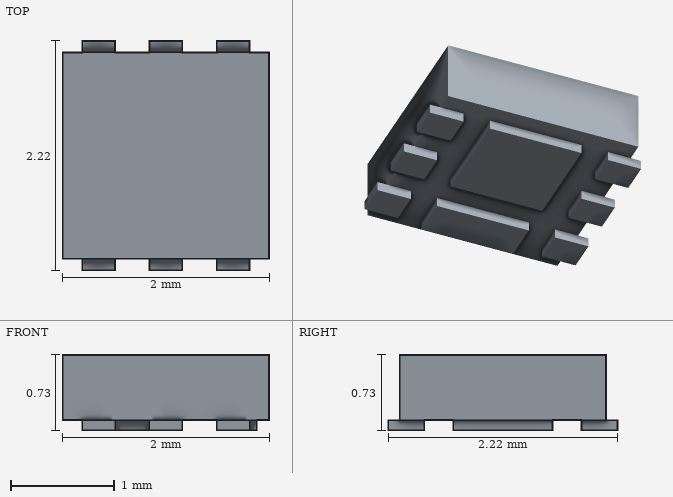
import cadquery as cq

body_side = 2.0
total_length = 2.22
total_height = 0.73
pad_height = 0.1
lead_width = 0.32
lead_length = 0.35
lead_pitch = 0.65
leads_per_side = 3

exposed_length = 0.963
small_pad_right = 0.881

body_height = total_height - pad_height
lead_center_y = (total_length - lead_length) / 2
outer_lead_x = lead_pitch * (leads_per_side - 1) / 2
large_pad_left = -outer_lead_x - lead_width / 2
large_pad_right = lead_width / 2
small_pad_left = outer_lead_x - lead_width / 2


def make_housing():
    """Plain square block resting on the leads and exposed pads."""
    block = cq.Workplane("XY").box(body_side, body_side, body_height, centered=(True, True, False))
    return block.translate((0, 0, pad_height))


def make_lead(x, y):
    """One flat lead centred at (x, y)."""
    lead = cq.Workplane("XY").box(lead_width, lead_length, pad_height, centered=(True, True, False))
    return lead.translate((x, y, 0))


def make_exposed_pad(left, right):
    """Flat pad between two X positions, centred along Y."""
    pad = cq.Workplane("XY").box(right - left, exposed_length, pad_height, centered=(False, True, False))
    return pad.translate((left, 0, 0))


housing = make_housing()

leads = []
for side in (-1, 1):
    for index in range(leads_per_side):
        lead_x = index * lead_pitch - outer_lead_x
        leads.append(make_lead(lead_x, side * lead_center_y).val())

large_pad = make_exposed_pad(large_pad_left, large_pad_right)
small_pad = make_exposed_pad(small_pad_left, small_pad_right)

result = cq.Compound.makeCompound([housing.val(), *leads, large_pad.val(), small_pad.val()])